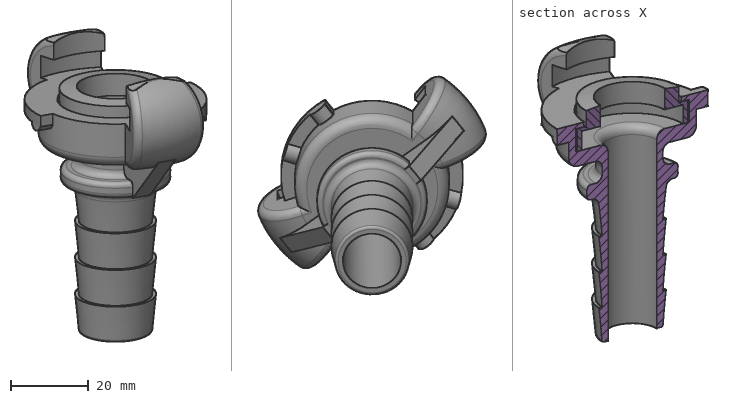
import cadquery as cq
import math


HUB_DIAMETER = 39.8
HUB_HEIGHT = 12.0
HUB_EDGE_RADIUS = 3.0
NECK_DIAMETER = 19.0
COLLAR_DIAMETER = 28.4
COLLAR_TOP = -18.0
COLLAR_BOTTOM = -22.4
COLLAR_EDGE_RADIUS = 1.4
ROOT_RADIUS = 2.0

TAIL_END = -63.2
BARB_LARGE_DIAMETER = 21.0
BARB_SMALL_DIAMETER = 19.0
BARB_PITCH = 10.0
FIRST_BARB = -33.1
BARB_COUNT = 3
TAIL_EDGE_RADIUS = 0.8

BORE_DIAMETER = 15.0
BORE_MOUTH_DIAMETER = 20.0
MOUTH_RADIUS = (BORE_MOUTH_DIAMETER - BORE_DIAMETER) / 2
SEAT_OPENING_DIAMETER = 30.0
SEAT_GROOVE_DIAMETER = 35.0
SEAT_LIP_THICKNESS = 1.5
SEAT_DEPTH = 7.7

CAM_DIAMETER = 47.0
CAM_THICKNESS = 3.0
TOOTH_RADIUS = 2.5
TOOTH_TIP_DEPTH = 4.7
TOOTH_SPACING = 36.0
TOOTH_COUNT = 2
TOOTH_ROOT_OVERLAP = 1.0

CLAW_ARC_RADIUS = 12.0
CLAW_OUTER_RADIUS = 31.4
CLAW_ARC_CENTER = CLAW_OUTER_RADIUS - CLAW_ARC_RADIUS
CLAW_INNER_RADIUS = 20.9
CLAW_ROOT_RADIUS = 12.0
CLAW_SLOT_RADIUS = 25.6
CLAW_SLOT_HEIGHT = 6.0
CLAW_HALF_ANGLE = 17.2
CLAW_AXIS_HALF_WIDTH = 1.44
CLAW_EDGE_RADIUS = 2.0
CLAW_CROWN_RADIUS = 24.0
CLAW_HEIGHT = 11.8

WEB_THICKNESS = 5.0

RING_BORE_DIAMETER = 20.0
RING_NECK_DIAMETER = 29.0
RING_FLANGE_DIAMETER = 34.5
RING_RECESS_DIAMETER = 31.2
RING_EDGE_HEIGHT = 3.0
RING_CREST_HEIGHT = 3.5
RING_LIP_BOTTOM = -2.5

CUT_MARGIN = 5.0


def make_turned_body():
    """Hub, neck, collar and barbed tail as one turned solid, without the bore."""
    hub = HUB_DIAMETER / 2
    neck = NECK_DIAMETER / 2
    collar = COLLAR_DIAMETER / 2
    barb_large = BARB_LARGE_DIAMETER / 2
    barb_small = BARB_SMALL_DIAMETER / 2

    profile = (
        cq.Workplane("XZ")
        .lineTo(hub, 0)
        .lineTo(hub, HUB_EDGE_RADIUS - HUB_HEIGHT)
        .radiusArc((hub - HUB_EDGE_RADIUS, -HUB_HEIGHT), HUB_EDGE_RADIUS)
        .lineTo(neck + ROOT_RADIUS, -HUB_HEIGHT)
        .radiusArc((neck, -HUB_HEIGHT - ROOT_RADIUS), -ROOT_RADIUS)
        .lineTo(neck, COLLAR_TOP + ROOT_RADIUS)
        .radiusArc((neck + ROOT_RADIUS, COLLAR_TOP), -ROOT_RADIUS)
        .lineTo(collar - COLLAR_EDGE_RADIUS, COLLAR_TOP)
        .radiusArc((collar, COLLAR_TOP - COLLAR_EDGE_RADIUS), COLLAR_EDGE_RADIUS)
        .lineTo(collar, COLLAR_BOTTOM + COLLAR_EDGE_RADIUS)
        .radiusArc((collar - COLLAR_EDGE_RADIUS, COLLAR_BOTTOM), COLLAR_EDGE_RADIUS)
        .lineTo(barb_large + ROOT_RADIUS, COLLAR_BOTTOM)
        .radiusArc((barb_large, COLLAR_BOTTOM - ROOT_RADIUS), -ROOT_RADIUS)
    )
    for index in range(BARB_COUNT):
        barb_top = FIRST_BARB - index * BARB_PITCH
        profile = profile.lineTo(barb_small, barb_top).lineTo(barb_large, barb_top)
    profile = profile.lineTo(barb_small, TAIL_END).lineTo(0, TAIL_END).close()
    body = profile.revolve(360, (0, 0), (0, 1))
    return body.faces("<Z").edges().fillet(TAIL_EDGE_RADIUS)


def make_bore():
    """Through bore with rounded mouth, and the undercut seat that holds the seal ring."""
    bore = BORE_DIAMETER / 2
    mouth = BORE_MOUTH_DIAMETER / 2
    opening = SEAT_OPENING_DIAMETER / 2
    groove = SEAT_GROOVE_DIAMETER / 2
    return (
        cq.Workplane("XZ")
        .lineTo(opening, 0)
        .lineTo(opening, -SEAT_LIP_THICKNESS)
        .lineTo(groove, -SEAT_LIP_THICKNESS)
        .lineTo(groove, -SEAT_DEPTH)
        .lineTo(mouth, -SEAT_DEPTH)
        .radiusArc((bore, -SEAT_DEPTH - MOUTH_RADIUS), -MOUTH_RADIUS)
        .lineTo(bore, TAIL_END)
        .lineTo(0, TAIL_END)
        .close()
        .revolve(360, (0, 0), (0, 1))
    )


def make_cam():
    """Flange on the -Y side, from the -X claw to a square end, with round teeth below it."""
    cam_radius = CAM_DIAMETER / 2
    tooth_center = TOOTH_RADIUS - TOOTH_TIP_DEPTH
    tooth_root = HUB_DIAMETER / 2 - TOOTH_ROOT_OVERLAP
    flange = (
        cq.Workplane("XY")
        .circle(cam_radius)
        .extrude(-CAM_THICKNESS)
        .intersect(
            cq.Workplane("XY")
            .moveTo(TOOTH_RADIUS, 0)
            .lineTo(TOOTH_RADIUS, -CAM_DIAMETER)
            .lineTo(-CAM_DIAMETER, -CAM_DIAMETER)
            .lineTo(-CAM_DIAMETER, 0)
            .close()
            .extrude(-CAM_THICKNESS)
        )
    )
    tooth = (
        cq.Workplane("XZ", origin=(0, 0, tooth_center))
        .circle(TOOTH_RADIUS)
        .extrude(CAM_DIAMETER)
        .intersect(cq.Workplane("XY").circle(cam_radius).extrude(-HUB_HEIGHT))
        .cut(cq.Workplane("XY").circle(tooth_root).extrude(-HUB_HEIGHT))
    )
    for index in range(TOOTH_COUNT):
        angle = -index * TOOTH_SPACING
        flange = flange.union(tooth.rotate((0, 0, 0), (0, 0, 1), angle))
    return flange


def make_claw():
    """Hook on the +X side: a turned arc section held between two flaring side planes."""
    tangent = CLAW_ARC_RADIUS
    turned = (
        cq.Workplane("XZ")
        .moveTo(CLAW_ROOT_RADIUS, tangent)
        .lineTo(CLAW_ARC_CENTER, tangent)
        .threePointArc((CLAW_OUTER_RADIUS, 0), (CLAW_ARC_CENTER, -tangent))
        .lineTo(CLAW_ROOT_RADIUS, -tangent)
        .close()
        .revolve(360, (0, 0), (0, 1))
    )
    reach = CLAW_OUTER_RADIUS + CUT_MARGIN
    flare = math.tan(math.radians(CLAW_HALF_ANGLE))
    end_half_width = CLAW_AXIS_HALF_WIDTH + reach * flare
    wedge = (
        cq.Workplane("XY", origin=(0, 0, -tangent))
        .moveTo(0, -CLAW_AXIS_HALF_WIDTH)
        .lineTo(reach, -end_half_width)
        .lineTo(reach, end_half_width)
        .lineTo(0, CLAW_AXIS_HALF_WIDTH)
        .close()
        .extrude(2 * tangent)
    )
    rounded_edges = cq.selectors.BoxSelector(
        (CLAW_ARC_CENTER + 1, -reach, -tangent), (reach, reach, tangent)
    )
    claw = turned.intersect(wedge)
    claw = claw.edges(rounded_edges).fillet(CLAW_EDGE_RADIUS)

    throat = cq.Workplane("XY").circle(CLAW_INNER_RADIUS).extrude(tangent)
    slot = cq.Workplane("XY").circle(CLAW_SLOT_RADIUS).extrude(CLAW_SLOT_HEIGHT)
    claw = claw.cut(throat).cut(slot)
    crown = (
        cq.Workplane("YZ")
        .center(0, CLAW_HEIGHT - CLAW_CROWN_RADIUS)
        .circle(CLAW_CROWN_RADIUS)
        .extrude(reach)
    )
    return claw.intersect(crown)


def make_web():
    """Flat web on the +X side, its sloping edge tangent to the claw at 45 degrees."""
    tangent_offset = CLAW_ARC_RADIUS * math.sqrt(0.5)
    tangent_x = CLAW_ARC_CENTER + tangent_offset
    foot_x = tangent_x - (-tangent_offset - COLLAR_BOTTOM)
    return (
        cq.Workplane("XZ")
        .moveTo(0, -tangent_offset)
        .lineTo(tangent_x, -tangent_offset)
        .lineTo(foot_x, COLLAR_BOTTOM)
        .lineTo(0, COLLAR_BOTTOM)
        .close()
        .extrude(WEB_THICKNESS / 2, both=True)
    )


def make_coupling():
    """Turned body with a claw, web and cam on each side, then bored for hose and seal."""
    coupling = make_turned_body()
    side_features = make_claw().union(make_web())
    for angle in (0, 180):
        for feature in (side_features, make_cam()):
            coupling = coupling.union(feature.rotate((0, 0, 0), (0, 0, 1), angle))
    return coupling.cut(make_bore())


def make_seal_ring():
    """Seal with a neck standing out of the coupling face and a flange held in the groove."""
    bore = RING_BORE_DIAMETER / 2
    neck = RING_NECK_DIAMETER / 2
    flange = RING_FLANGE_DIAMETER / 2
    recess = RING_RECESS_DIAMETER / 2
    return (
        cq.Workplane("XZ")
        .moveTo(bore, RING_CREST_HEIGHT)
        .lineTo(neck, RING_EDGE_HEIGHT)
        .lineTo(neck, -SEAT_LIP_THICKNESS)
        .lineTo(flange, -SEAT_LIP_THICKNESS)
        .lineTo(flange, -SEAT_DEPTH)
        .lineTo(recess, -SEAT_DEPTH)
        .lineTo(recess, RING_LIP_BOTTOM)
        .lineTo(bore, RING_LIP_BOTTOM)
        .close()
        .revolve(360, (0, 0), (0, 1))
    )


coupling = make_coupling()
seal_ring = make_seal_ring()
result = cq.Compound.makeCompound([coupling.val(), seal_ring.val()])